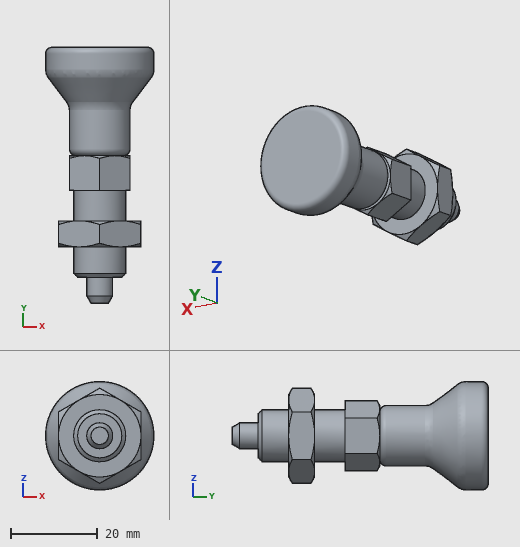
import cadquery as cq
import math


pin_diameter = 6.0
pin_tip_diameter = 4.0
pin_length = 6.0
pin_tip_angle = 30.0

sleeve_diameter = 12.0
sleeve_chamfer = 0.92
sleeve_length = 20.0
nut_width = 19.0
nut_thickness = 6.0
nut_offset = 7.0
collar_width = 14.0
collar_thickness = 8.0
hex_sides = 6
hex_chamfer_angle = 30.0

neck_diameter = 14.0
head_diameter = 25.0
knob_length = 25.0
flare_start = 11.5
flare_length = 7.3
flare_radius = 3.0
rim_radius = 1.5

sleeve_start = pin_length
nut_start = sleeve_start + nut_offset
collar_start = sleeve_start + sleeve_length
knob_start = collar_start + collar_thickness
knob_end = knob_start + knob_length


def revolve_about_y(points):
    """Solid of revolution about Y from a closed outline of (radius, Y) points."""
    return cq.Workplane("XY").polyline(points).close().revolve(360, (0, 0), (0, 1))


def make_pin():
    """Pin with a tapered tip, running back to the collar inside the sleeve."""
    radius = pin_diameter / 2
    tip_radius = pin_tip_diameter / 2
    tip_length = (radius - tip_radius) / math.tan(math.radians(pin_tip_angle))
    return revolve_about_y([
        (0, 0),
        (tip_radius, 0),
        (radius, tip_length),
        (radius, collar_start),
        (0, collar_start),
    ])


def make_sleeve():
    """Round sleeve with a chamfered front end."""
    radius = sleeve_diameter / 2
    return revolve_about_y([
        (0, sleeve_start),
        (radius - sleeve_chamfer, sleeve_start),
        (radius, sleeve_start + sleeve_chamfer),
        (radius, collar_start),
        (0, collar_start),
    ])


def make_hexagon(width, start, thickness, chamfer_front):
    """Hexagon with flats facing +X and -X; corners chamfered at the back and optionally the front."""
    end = start + thickness
    flat_radius = width / 2
    corner_radius = flat_radius / math.cos(math.pi / hex_sides)
    drop = (corner_radius - flat_radius) * math.tan(math.radians(hex_chamfer_angle))

    prism = (
        cq.Workplane("XZ", origin=(0, start, 0))
        .transformed(rotate=(0, 0, 90))
        .polygon(hex_sides, 2 * corner_radius)
        .extrude(-thickness)
    )
    if chamfer_front:
        front = [(0, start), (flat_radius, start), (corner_radius, start + drop)]
    else:
        front = [(0, start), (corner_radius, start)]
    back = [(corner_radius, end - drop), (flat_radius, end), (0, end)]
    return prism.intersect(revolve_about_y(front + back))


def make_knob():
    """Round knob flaring from a straight neck to a wide head, with all edges rounded."""
    neck_radius = neck_diameter / 2
    head_radius = head_diameter / 2
    cone_start = knob_start + flare_start
    cone_end = cone_start + flare_length
    knob = revolve_about_y([
        (0, knob_start),
        (neck_radius, knob_start),
        (neck_radius, cone_start),
        (head_radius, cone_end),
        (head_radius, knob_end),
        (0, knob_end),
    ])
    knob = knob.edges("%CIRCLE").edges(">Y or <Y").fillet(rim_radius)

    cone_zone = cq.selectors.BoxSelector(
        (-head_diameter, cone_start - rim_radius, -head_diameter),
        (head_diameter, cone_end + rim_radius, head_diameter),
    )
    return knob.edges("%CIRCLE").edges(cone_zone).fillet(flare_radius)


nut = make_hexagon(nut_width, nut_start, nut_thickness, chamfer_front=True)
collar = make_hexagon(collar_width, collar_start, collar_thickness, chamfer_front=False)

result = make_pin().union(make_sleeve()).union(nut).union(collar).union(make_knob())